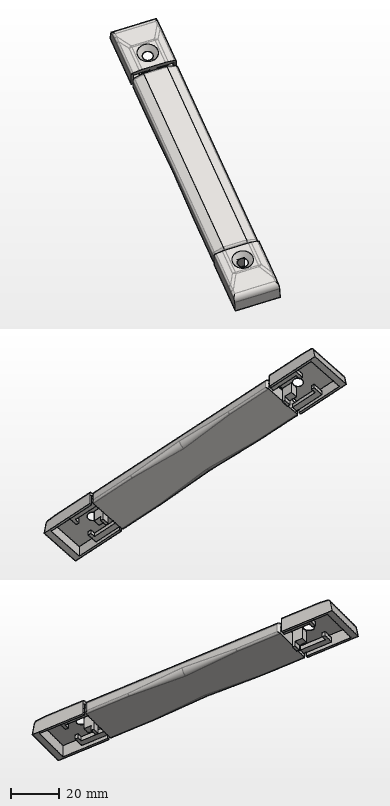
import cadquery as cq
import math

length = 148.0
width = 20.0
half_length = length / 2
half_width = width / 2

cap_length = 25.0
cap_height = 8.3
cap_inner_x = half_length - cap_length
cap_end_lean = 10.0
cap_end_slope = 5.5
cap_side_slope = 10.0
crown_ridge_x = 61.4
crown_ridge_y = 5.8
cap_end_round = 3.0
cap_side_round = 1.0
crown_round = 7.4
crown_margin = 7.4

cap_roof = 2.2
cap_side_wall = 1.0
cap_end_wall = 3.0

screw_x = 56.1
screw_diameter = 4.5
countersink_angle = 90.0

rib_width = 3.3
rib_end_x = screw_x - screw_diameter / 2
tab_thickness = 1.3
tab_height = 2.5

gap = 1.0
grip_half_length = cap_inner_x - gap
grip_height = 7.7
grip_flat_half_width = 5.2
grip_side_slope = 22.0
grip_side_round = 1.3
grip_end_round = 1.0

lower_round = 0.9
lower_round_middle = 2.7
swell_half_length = 26.6

strip_width = 2.7
strip_thickness = 2.2
strip_y = 7.4
strip_z = 2.8
hook_x = 60.2
hook_thickness = 1.5
hook_tip_y = 3.7


def tan(degrees):
    return math.tan(math.radians(degrees))


def extrude_along_y(outline, half_depth):
    """Solid from an X-Z outline, symmetric about the X-Z plane."""
    return cq.Workplane("XZ").polyline(outline).close().extrude(half_depth, both=True)


def extrude_along_x(outline, start_x, end_x):
    """Solid from a Y-Z outline, between two X positions."""
    plane = cq.Workplane("YZ", origin=(start_x, 0, 0))
    return plane.polyline(outline).close().extrude(end_x - start_x)


def make_crown():
    """Oversized block whose sloping roof faces blend with rolling-ball rounds.

    The core has each roof face moved inward by the radius; growing the core
    back outward by that radius rounds every ridge between the faces.
    """
    core_top = cap_height - crown_round
    ridge_x = crown_ridge_x - crown_round * tan(cap_end_slope / 2)
    ridge_y = crown_ridge_y - crown_round * tan(cap_side_slope / 2)
    far_x = half_length + crown_margin
    far_y = half_width + crown_margin
    near_x = cap_inner_x - crown_margin
    base_z = -crown_margin
    end_z = core_top - (far_x - ridge_x) * tan(cap_end_slope)
    side_z = core_top - (far_y - ridge_y) * tan(cap_side_slope)
    end_outline = [
        (near_x, base_z),
        (far_x, base_z),
        (far_x, end_z),
        (ridge_x, core_top),
        (near_x, core_top),
    ]
    side_outline = [
        (-far_y, base_z),
        (far_y, base_z),
        (far_y, side_z),
        (ridge_y, core_top),
        (-ridge_y, core_top),
        (-far_y, side_z),
    ]
    core = extrude_along_y(end_outline, far_y)
    core = core.intersect(extrude_along_x(side_outline, near_x, far_x))
    grown = core.shell(crown_round, kind="arc")
    return cq.Workplane(cq.Solid.makeSolid(grown.solids().val().outerShell()))


def make_cap_shell():
    """Outer form of the +X cap: rounded crown and end, without openings."""
    slope_inner_z = cap_height + (crown_ridge_x - cap_inner_x) * tan(cap_end_slope)
    slope_run = half_length - crown_ridge_x
    slope_fall = tan(cap_end_slope)
    corner_z = (cap_height - slope_run * slope_fall) / (1 - slope_fall * tan(cap_end_lean))
    outline = [
        (cap_inner_x, 0),
        (half_length, 0),
        (half_length - corner_z * tan(cap_end_lean), corner_z),
        (cap_inner_x, slope_inner_z),
    ]
    end_form = extrude_along_y(outline, half_width)
    end_form = end_form.faces(">X").edges(">Z").fillet(cap_end_round)

    trim_length = cap_length + crown_margin
    trim = cq.Workplane("XY", origin=(cap_inner_x, 0, 0)).box(
        trim_length, width, cap_height, centered=(False, True, False)
    )
    crown = make_crown().intersect(trim)
    for side in ("<Y", ">Y"):
        crown = crown.faces(side).edges("not (<Z or <X or >X)").fillet(cap_side_round)
    return end_form.intersect(crown)


def make_screw_hole():
    """Cutter for the countersink, from the cap top down to the cavity ceiling."""
    screw_radius = screw_diameter / 2
    outline = [
        (0, cap_height - cap_roof),
        (screw_radius, cap_height - cap_roof),
        (screw_radius + cap_roof * tan(countersink_angle / 2), cap_height),
        (0, cap_height),
    ]
    cutter = cq.Workplane("YZ").polyline(outline).close().revolve(360, (0, 0), (0, 1))
    return cutter.translate((screw_x, 0, 0))


def make_cap():
    """Cap at the +X end, with its cavity, screw hole, rib and locating tab."""
    corner = cq.Workplane("XY", origin=(cap_inner_x, 0, 0))
    cavity_height = cap_height - cap_roof
    cavity = corner.box(
        cap_length - cap_end_wall,
        width - 2 * cap_side_wall,
        cavity_height,
        centered=(False, True, False),
    )
    rib = corner.box(
        rib_end_x - cap_inner_x, rib_width, cavity_height, centered=(False, True, False)
    )
    tab = corner.box(tab_thickness, rib_width, tab_height, centered=(False, True, False))
    cap = make_cap_shell().cut(cavity).cut(make_screw_hole())
    return cap.union(rib).union(tab.translate((0, 0, -tab_height)))


def make_lower_rounding():
    """Cutter for the -Y lower grip edge: a cove whose radius swells at mid-length."""
    stations = [
        (-grip_half_length, lower_round),
        (-swell_half_length, lower_round),
        (0, lower_round_middle),
        (swell_half_length, lower_round),
        (grip_half_length, lower_round),
    ]
    sections = []
    for x, radius in stations:
        plane = cq.Workplane("YZ", origin=(x, -half_width, 0))
        reach = radius * (1 - math.sqrt(0.5))
        section = (
            plane.lineTo(radius, 0)
            .threePointArc((reach, reach), (0, radius))
            .close()
        )
        sections.append(section.val())
    return cq.Workplane(cq.Solid.makeLoft(sections, True))


def make_strip():
    """Strip on the +Y side, hooked inwards at both ends."""
    hook_end_x = hook_x + hook_thickness
    inner_y = strip_y - strip_width / 2
    outer_y = strip_y + strip_width / 2
    outline = [
        (-hook_end_x, outer_y),
        (hook_end_x, outer_y),
        (hook_end_x, hook_tip_y),
        (hook_x, hook_tip_y),
        (hook_x, inner_y),
        (-hook_x, inner_y),
        (-hook_x, hook_tip_y),
        (-hook_end_x, hook_tip_y),
    ]
    plane = cq.Workplane("XY", origin=(0, 0, strip_z - strip_thickness / 2))
    return plane.polyline(outline).close().extrude(strip_thickness)


def make_grip(strips):
    """Grip with rounded edges and a passage for each strip."""
    shoulder_z = grip_height - (half_width - grip_flat_half_width) * tan(grip_side_slope)
    outline = [
        (-half_width, 0),
        (half_width, 0),
        (half_width, shoulder_z),
        (grip_flat_half_width, grip_height),
        (-grip_flat_half_width, grip_height),
        (-half_width, shoulder_z),
    ]
    grip = extrude_along_x(outline, -grip_half_length, grip_half_length)
    for edge_side in ("<Y", ">Y"):
        grip = grip.faces(edge_side).edges(">Z").fillet(grip_side_round)
    for end in ("<X", ">X"):
        grip = grip.faces(end).edges("not <Z").fillet(grip_end_round)
    rounding = make_lower_rounding()
    grip = grip.cut(rounding).cut(rounding.mirror("XZ"))
    for strip in strips:
        grip = grip.cut(strip)
    return grip


cap = make_cap()
caps = [cap, cap.mirror("YZ")]

strip = make_strip()
strips = [strip, strip.mirror("XZ")]

grip = make_grip(strips)

result = cq.Compound.makeCompound([body.val() for body in [*caps, grip, *strips]])